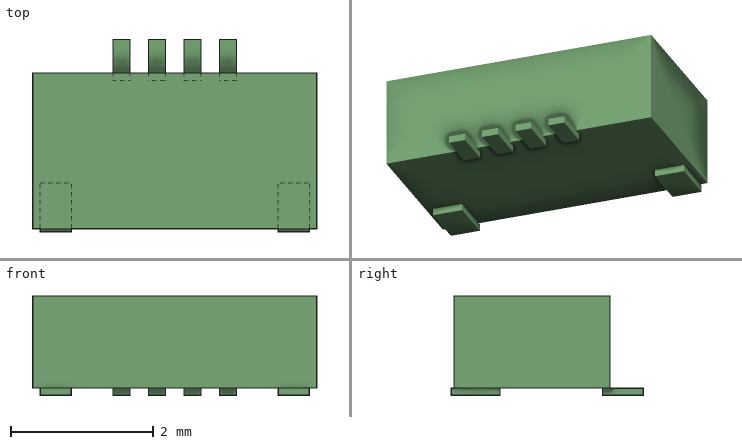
import cadquery as cq

housing_length = 4.0
housing_width = 2.2
housing_height = 1.3

terminal_thickness = 0.1

contact_count = 4
contact_pitch = 0.5
contact_width = 0.24
contact_length = 0.58
contact_overhang = 0.47

tab_width = 0.44
tab_length = 0.69
tab_overhang = 0.04
tab_spacing = 3.35

back_face_y = housing_width / 2
front_face_y = -housing_width / 2


def make_housing():
    """Plain block resting on top of the terminals."""
    return (
        cq.Workplane("XY")
        .box(housing_length, housing_width, housing_height, centered=(True, True, False))
        .translate((0, 0, terminal_thickness))
    )


def make_terminal(center_x, front_y, width, length):
    """Flat strip on the base plane, running toward +Y from front_y."""
    return (
        cq.Workplane("XY")
        .box(width, length, terminal_thickness, centered=(True, False, False))
        .translate((center_x, front_y, 0))
    )


def make_contact(center_x):
    """Contact strip that sticks out past the back of the housing."""
    front_y = back_face_y + contact_overhang - contact_length
    return make_terminal(center_x, front_y, contact_width, contact_length)


def make_mounting_tab(center_x):
    """Wider strip that sticks out slightly past the front of the housing."""
    return make_terminal(center_x, front_face_y - tab_overhang, tab_width, tab_length)


housing = make_housing()

contacts = []
for index in range(contact_count):
    contact_x = (index - (contact_count - 1) / 2) * contact_pitch
    contacts.append(make_contact(contact_x).val())

mounting_tabs = []
for side in (-1, 1):
    mounting_tabs.append(make_mounting_tab(side * tab_spacing / 2).val())

result = cq.Compound.makeCompound([housing.val(), *contacts, *mounting_tabs])